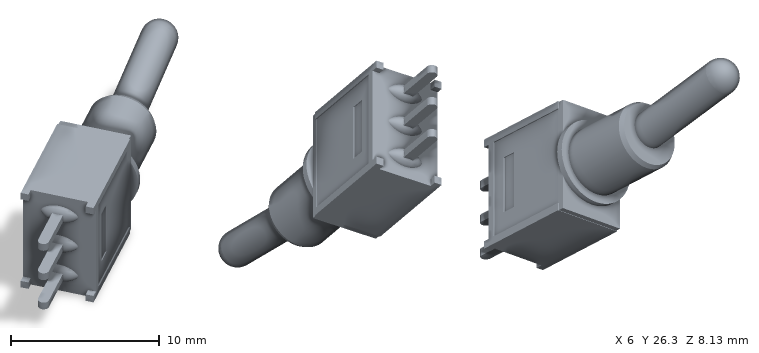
import cadquery as cq
import math


BODY_WIDTH = 5.15
BODY_HEIGHT = 8.13
BASE_Y = -7.7
CAP_THICKNESS = 0.42
CAP_INSET = 0.08
CAP_HEIGHT_INSET = 0.03
FOOT_SIZE = 0.55
FOOT_LENGTH = 0.5

PANEL_FRONT_Y = -0.5
PANEL_REAR_Y = -7.18
PANEL_HEIGHT = BODY_HEIGHT - 2 * FOOT_SIZE
PANEL_DEPTH = 0.092
WINDOW_FRONT_Y = -5.15
WINDOW_REAR_Y = -6.13
WINDOW_HEIGHT = 4.08
WINDOW_DEPTH = 0.08
GROOVE_WIDTH = 0.1
GROOVE_DEPTH = 0.13

FLANGE_RADIUS = 3.0
FLANGE_THICKNESS = 0.47
BUSHING_RADIUS = 2.4
BUSHING_END_Y = 6.08
BUSHING_CHAMFER_LENGTH = 0.35
BUSHING_CHAMFER_DEPTH = 0.18

LEVER_RADIUS = 1.3
LEVER_TILT = 9.0
LEVER_TIP_Y = 14.83
PIVOT_Y = 4.18

PIN_WIDTH = 0.75
PIN_THICKNESS = 0.58
PIN_END_Y = -11.47
PIN_PITCH = 2.52
BEAD_RADIUS = 0.7
BEAD_HALF_LENGTH = 1.53
BEAD_AXIS_DEPTH = 0.2


def block(width, y_rear, y_front, height):
    """Box centred on X and Z, spanning the given Y range."""
    middle = (y_rear + y_front) / 2
    return cq.Workplane("XY").box(width, y_front - y_rear, height).translate((0, middle, 0))


def rod(radius, y_start, y_end):
    """Cylinder on the Y axis."""
    return cq.Workplane("XZ", origin=(0, y_start, 0)).circle(radius).extrude(y_start - y_end)


def make_housing():
    housing = block(BODY_WIDTH, BASE_Y, -CAP_THICKNESS, BODY_HEIGHT)
    cap_width = BODY_WIDTH - 2 * CAP_INSET
    cap_height = BODY_HEIGHT - 2 * CAP_HEIGHT_INSET
    housing = housing.union(block(cap_width, -CAP_THICKNESS, 0, cap_height))

    for side in (-1, 1):
        for level in (-1, 1):
            foot = block(FOOT_SIZE, BASE_Y - FOOT_LENGTH, BASE_Y, FOOT_SIZE)
            foot_x = side * (BODY_WIDTH - FOOT_SIZE) / 2
            foot_z = level * (BODY_HEIGHT - FOOT_SIZE) / 2
            housing = housing.union(foot.translate((foot_x, 0, foot_z)))

        side_x = side * BODY_WIDTH / 2
        cap_tongue = block(2 * CAP_INSET, PANEL_FRONT_Y, -CAP_THICKNESS, PANEL_HEIGHT)
        panel = block(2 * PANEL_DEPTH, PANEL_REAR_Y, PANEL_FRONT_Y, PANEL_HEIGHT)
        window_width = 2 * (PANEL_DEPTH + WINDOW_DEPTH)
        window = block(window_width, WINDOW_REAR_Y, WINDOW_FRONT_Y, WINDOW_HEIGHT)
        groove_width = 2 * (PANEL_DEPTH + GROOVE_DEPTH)
        groove = block(groove_width, WINDOW_REAR_Y - GROOVE_WIDTH, WINDOW_REAR_Y, WINDOW_HEIGHT)
        for cutter in (cap_tongue, panel, window, groove):
            housing = housing.cut(cutter.translate((side_x, 0, 0)))
    return housing


def make_bushing():
    flange = rod(FLANGE_RADIUS, 0, FLANGE_THICKNESS)
    nose_radius = BUSHING_RADIUS - BUSHING_CHAMFER_DEPTH
    sleeve = (
        cq.Workplane("XY")
        .lineTo(BUSHING_RADIUS, 0)
        .lineTo(BUSHING_RADIUS, BUSHING_END_Y - BUSHING_CHAMFER_LENGTH)
        .lineTo(nose_radius, BUSHING_END_Y)
        .lineTo(0, BUSHING_END_Y)
        .close()
        .revolve(360, (0, 0, 0), (0, 1, 0))
    )
    return flange.union(sleeve)


def make_lever():
    """Round-ended lever tilted upward about its pivot inside the bushing."""
    ball_y = LEVER_TIP_Y - LEVER_RADIUS
    length = (ball_y - PIVOT_Y) / math.cos(math.radians(LEVER_TILT))
    shaft = rod(LEVER_RADIUS, 0, length)
    ball = cq.Workplane("XY").sphere(LEVER_RADIUS).translate((0, length, 0))
    lever = shaft.union(ball).rotate((0, 0, 0), (1, 0, 0), LEVER_TILT)
    return lever.translate((0, PIVOT_Y, 0))


def make_terminal():
    """Pin with a fully rounded tip and a spindle-shaped bead half sunk into the base."""
    tip_radius = PIN_WIDTH / 2
    tip_centre_y = PIN_END_Y + tip_radius
    shank = block(PIN_WIDTH, tip_centre_y, BASE_Y, PIN_THICKNESS)
    tip = cq.Workplane("XY").circle(tip_radius).extrude(PIN_THICKNESS / 2, both=True)
    pin = shank.union(tip.translate((0, tip_centre_y, 0)))
    bead = (
        cq.Workplane("XY")
        .moveTo(-BEAD_HALF_LENGTH, 0)
        .threePointArc((0, BEAD_RADIUS), (BEAD_HALF_LENGTH, 0))
        .close()
        .revolve(360, (0, 0, 0), (1, 0, 0))
        .translate((0, BASE_Y + BEAD_AXIS_DEPTH, 0))
    )
    return pin.union(bead)


result = make_housing().union(make_bushing()).union(make_lever())
for position in (-1, 0, 1):
    result = result.union(make_terminal().translate((0, 0, position * PIN_PITCH)))